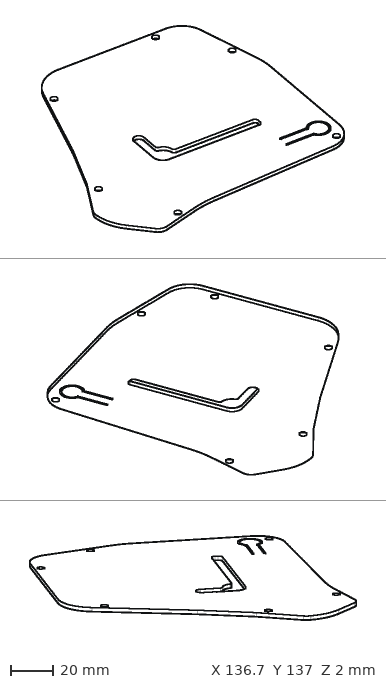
import cadquery as cq
import math

HEIGHT = 137.0
THICKNESS = 2.0

OUTLINE_CORNERS = [
    (0, 39.6, 17.8),
    (60.2, 20.7, 0),
    (86.3, 10.8, 0),
    (108.4, -0.1, 5.6),
    (119.0, 1.0, 24.7),
    (137.4, 19.3, 5.6),
    (129.3, 47.8, 54.8),
    (124.3, HEIGHT, 13.2),
    (48.9, HEIGHT, 34.3),
    (0, 124.0, 13.4),
]

HOLE_DIAMETER = 3.5
HOLE_CENTERS = [
    (3.3, 105.6),
    (32.5, 129.5),
    (118.8, 130.7),
    (129.9, 33.2),
    (92.8, 13.2),
    (19.0, 37.4),
]

LEG_LEFT = 85.6
LEG_WIDTH = 5.2
LEG_TOP = 107.3
LEG_END_RADIUS = 1.8
FOOT_LEFT = 66.3
FOOT_BOTTOM = 49.0
FOOT_WIDTH = 5.6
BEND_RADIUS = 5.5
RELIEF_RADIUS = 5.8
RELIEF_BLEND_RADIUS = 1.4

SLIT_WIDTH = 0.89
BUTTON_X = 108.8
BUTTON_Y = 127.2
BUTTON_SLIT_RADIUS = 5.3
STEM_SLIT_SPACING = 5.6
STEM_END_Y = 107.0


def rounded_outline(corners):
    """Closed profile through the corners, each rounded by a tangent arc."""
    profile = None
    for i, (x, y, radius) in enumerate(corners):
        corner = cq.Vector(x, y)
        before = cq.Vector(*corners[i - 1][:2])
        after = cq.Vector(*corners[(i + 1) % len(corners)][:2])
        to_before = (before - corner).normalized()
        to_after = (after - corner).normalized()
        half_angle = to_before.getAngle(to_after) / 2
        setback = radius / math.tan(half_angle)
        start = corner + to_before * setback
        if profile is None:
            profile = cq.Workplane("XY").moveTo(start.x, start.y)
        else:
            profile = profile.lineTo(start.x, start.y)
        if radius > 0:
            bisector = (to_before + to_after).normalized()
            middle = corner + bisector * (radius / math.sin(half_angle) - radius)
            end = corner + to_after * setback
            profile = profile.threePointArc((middle.x, middle.y), (end.x, end.y))
    return profile.close()


def box_between(x_min, y_min, x_max, y_max):
    """Block through the full thickness, given by two opposite corners."""
    size = (x_max - x_min, y_max - y_min, THICKNESS)
    return cq.Workplane("XY").box(*size, centered=False).translate((x_min, y_min, 0))


def disc(x, y, radius):
    """Cylinder through the full thickness."""
    return cq.Workplane("XY").center(x, y).circle(radius).extrude(THICKNESS)


def l_slot():
    """Cutter for the L slot, with a round relief at its inner corner."""
    right = LEG_LEFT + LEG_WIDTH
    foot_top = FOOT_BOTTOM + FOOT_WIDTH
    foot_radius = FOOT_WIDTH / 2
    diagonal = math.sqrt(0.5)

    reach = math.sqrt((RELIEF_RADIUS + RELIEF_BLEND_RADIUS) ** 2 - RELIEF_BLEND_RADIUS ** 2)
    share = RELIEF_RADIUS / (RELIEF_RADIUS + RELIEF_BLEND_RADIUS)
    touch_along = reach * share
    touch_out = RELIEF_BLEND_RADIUS * share
    relief_middle = RELIEF_RADIUS * diagonal

    return (
        cq.Workplane("XY")
        .moveTo(FOOT_LEFT + foot_radius, FOOT_BOTTOM)
        .lineTo(right - BEND_RADIUS, FOOT_BOTTOM)
        .radiusArc((right, FOOT_BOTTOM + BEND_RADIUS), -BEND_RADIUS)
        .lineTo(right, LEG_TOP - LEG_END_RADIUS)
        .radiusArc((right - LEG_END_RADIUS, LEG_TOP), -LEG_END_RADIUS)
        .lineTo(LEG_LEFT + LEG_END_RADIUS, LEG_TOP)
        .radiusArc((LEG_LEFT, LEG_TOP - LEG_END_RADIUS), -LEG_END_RADIUS)
        .lineTo(LEG_LEFT, foot_top + reach)
        .radiusArc((LEG_LEFT - touch_out, foot_top + touch_along), RELIEF_BLEND_RADIUS)
        .threePointArc(
            (LEG_LEFT - relief_middle, foot_top + relief_middle),
            (LEG_LEFT - touch_along, foot_top + touch_out),
        )
        .radiusArc((LEG_LEFT - reach, foot_top), RELIEF_BLEND_RADIUS)
        .lineTo(FOOT_LEFT + foot_radius, foot_top)
        .threePointArc(
            (FOOT_LEFT, FOOT_BOTTOM + foot_radius),
            (FOOT_LEFT + foot_radius, FOOT_BOTTOM),
        )
        .close()
        .extrude(THICKNESS)
    )


def keyhole(growth):
    """Button disc and stem bounded by the slit center line, grown sideways."""
    half_stem = STEM_SLIT_SPACING / 2 + growth
    stem_bottom = STEM_END_Y + SLIT_WIDTH / 2
    stem = box_between(BUTTON_X - half_stem, stem_bottom, BUTTON_X + half_stem, BUTTON_Y)
    return disc(BUTTON_X, BUTTON_Y, BUTTON_SLIT_RADIUS + growth).union(stem)


def button_slit():
    """Cutter for the keyhole slit, with round ends at the foot of the stem."""
    half_slit = SLIT_WIDTH / 2
    slit = keyhole(half_slit).cut(keyhole(-half_slit))
    for side in (-1, 1):
        end_x = BUTTON_X + side * STEM_SLIT_SPACING / 2
        slit = slit.union(disc(end_x, STEM_END_Y + half_slit, half_slit))
    return slit


plate = rounded_outline(OUTLINE_CORNERS).extrude(THICKNESS)
for hole_x, hole_y in HOLE_CENTERS:
    plate = plate.cut(disc(hole_x, hole_y, HOLE_DIAMETER / 2))

result = plate.cut(l_slot()).cut(button_slit())